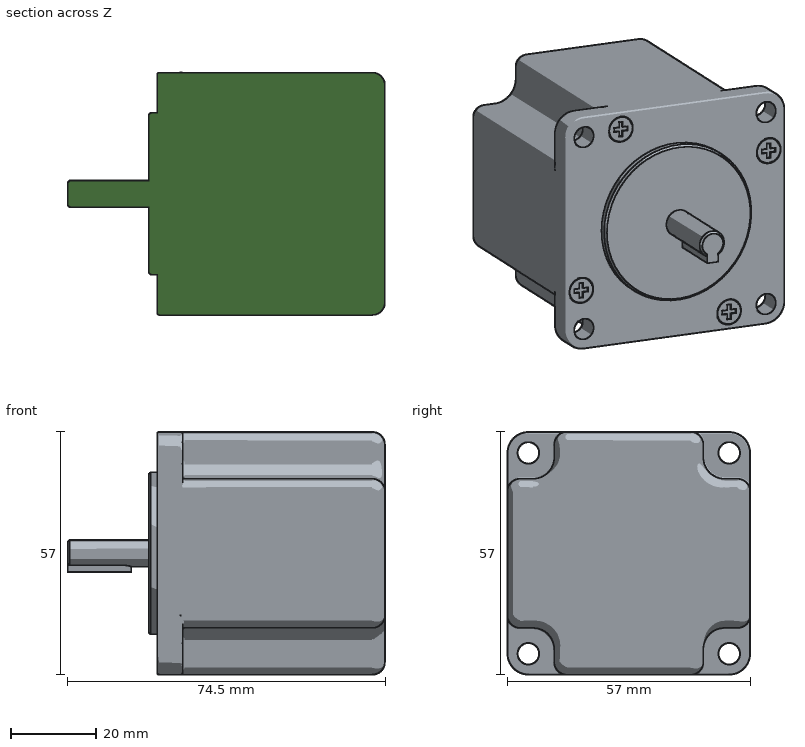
import cadquery as cq
import math

total_length = 74.5
frame_size = 57.0
shaft_reach = 21.0

flange_thickness = 6.0
flange_corner_radius = 5.0
flange_edge_radius = 0.5
mount_hole_pitch = 47.14
mount_hole_diameter = 5.0

corner_notch_size = 11.0
notch_inner_radius = 5.0
notch_outer_radius = 3.0
notch_root_radius = 0.5
rear_edge_radius = 3.0

pilot_diameter = 38.1
pilot_height = 2.0
pilot_chamfer = 0.5

shaft_diameter = 6.35
shaft_chamfer = 0.5
key_length = 15.0
key_width = 2.8
key_drop = 4.4

screw_count = 4
screw_circle_radius = 28.0
screw_first_angle = 60.0
screw_bore_diameter = 6.2
screw_head_diameter = 6.0
screw_gap_depth = 0.5
screw_cross_length = 3.6
screw_cross_width = 1.0
screw_cross_depth = 0.5

half_frame = frame_size / 2
body_end = total_length - shaft_reach
notch_wall = half_frame - corner_notch_size
shaft_tip = -shaft_reach


def bar_on_axis(diameter, x_start, x_end):
    """Round bar on the motor axis between two X positions."""
    return cq.Workplane("YZ", origin=(x_start, 0, 0)).circle(diameter / 2).extrude(x_end - x_start)


def square_bar(length):
    """Sharp-edged square bar from the flange face toward +X."""
    return cq.Workplane("YZ").rect(frame_size, frame_size).extrude(length)


def fillet_at_corners(solid, radius, x, nearest, farthest):
    """Fillet the edges in the plane X = x whose centres are nearest..farthest from the axis in both Y and Z.

    The fillet runs on along every edge that is tangent to the chosen ones.
    """
    tolerance = 0.1
    chosen = []
    for y_side in (-1, 1):
        for z_side in (-1, 1):
            box = cq.selectors.BoxSelector(
                (x - tolerance, y_side * nearest, z_side * nearest),
                (x + tolerance, y_side * farthest, z_side * farthest),
            )
            chosen += solid.edges(box).vals()
    return solid.newObject(chosen).fillet(radius)


def make_flange():
    """Square plate with rounded corners."""
    return square_bar(flange_thickness).edges("|X").fillet(flange_corner_radius)


def make_body():
    """Square bar with a rounded notch along each corner and a rounded rear edge."""
    notches = (
        cq.Workplane("YZ")
        .rect(frame_size, frame_size, forConstruction=True)
        .vertices()
        .rect(2 * corner_notch_size, 2 * corner_notch_size)
        .extrude(body_end)
    )
    body = square_bar(body_end).cut(notches)
    reach = notch_wall + corner_notch_size / 2
    core = cq.selectors.BoxSelector((0, -reach, -reach), (body_end, reach, reach))
    along_axis = cq.selectors.StringSyntaxSelector("|X")
    body = body.edges(along_axis & core).fillet(notch_inner_radius)
    body = body.edges(along_axis - core).fillet(notch_outer_radius)
    return body.faces(">X").edges().fillet(rear_edge_radius)


def make_housing():
    """Flange and body in one piece, with rounded flange edges and notch roots."""
    housing = make_flange().union(make_body())
    housing = housing.faces("<X").edges().fillet(flange_edge_radius)
    flange_arc_start = half_frame - flange_corner_radius
    housing = fillet_at_corners(
        housing, flange_edge_radius, flange_thickness, flange_arc_start, half_frame
    )
    root_arc_end = notch_wall + notch_inner_radius
    return fillet_at_corners(
        housing, notch_root_radius, flange_thickness, notch_wall, root_arc_end
    )


def cut_mount_holes(solid):
    """Through holes at the flange corners."""
    holes = (
        cq.Workplane("YZ")
        .rect(mount_hole_pitch, mount_hole_pitch, forConstruction=True)
        .vertices()
        .circle(mount_hole_diameter / 2)
        .extrude(flange_thickness)
    )
    return solid.cut(holes)


def cut_screws(solid):
    """Narrow ring groove around each screw head, with a cross slot in the head."""
    for index in range(screw_count):
        angle = math.radians(screw_first_angle + index * 360 / screw_count)
        y = screw_circle_radius * math.cos(angle)
        z = screw_circle_radius * math.sin(angle)
        spot = cq.Workplane("YZ").center(y, z)
        gap = (
            spot.circle(screw_bore_diameter / 2)
            .circle(screw_head_diameter / 2)
            .extrude(screw_gap_depth)
        )
        upright = spot.rect(screw_cross_width, screw_cross_length).extrude(screw_cross_depth)
        level = spot.rect(screw_cross_length, screw_cross_width).extrude(screw_cross_depth)
        solid = solid.cut(gap).cut(upright).cut(level)
    return solid


def make_pilot():
    """Centring disc on the flange face."""
    return bar_on_axis(pilot_diameter, -pilot_height, 0).faces("<X").chamfer(pilot_chamfer)


def make_shaft():
    """Output shaft with a chamfered tip."""
    return bar_on_axis(shaft_diameter, shaft_tip, 0).faces("<X").chamfer(shaft_chamfer)


def make_key():
    """Key below the shaft axis, square at the shaft tip and round at its inner end."""
    half_width = key_width / 2
    key_end = shaft_tip + key_length
    straight_end = key_end - half_width
    return (
        cq.Workplane("XY", origin=(0, 0, -key_drop))
        .moveTo(shaft_tip, -half_width)
        .lineTo(straight_end, -half_width)
        .threePointArc((key_end, 0), (straight_end, half_width))
        .lineTo(shaft_tip, half_width)
        .close()
        .extrude(key_drop)
    )


housing = cut_screws(cut_mount_holes(make_housing()))
result = housing.union(make_pilot()).union(make_shaft()).union(make_key())